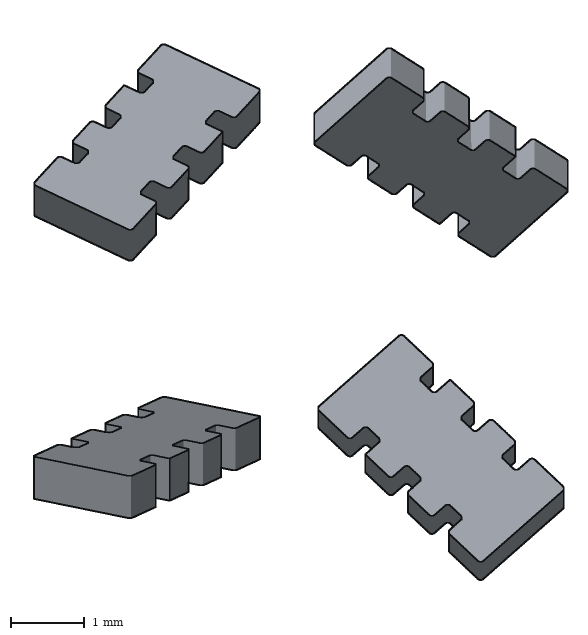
import cadquery as cq

length = 3.2
width = length / 2
height = 0.6
pitch = length / 4
notch_width = 0.3
notch_depth = 0.3
corner_radius = 0.05

core_half_width = width / 2 - notch_depth
notch_centers = [-pitch, 0, pitch]

sharp_corner_y = pitch - notch_width / 2


def vertical_edges_at(body, x, y):
    """Select the vertical edge of the body standing at (x, y)."""
    reach = corner_radius / 4
    selector = cq.selectors.BoxSelector(
        (x - reach, y - reach, -height), (x + reach, y + reach, height)
    )
    return body.edges("|Z").edges(selector)


def notched_body():
    """Cut facing notches into both long sides of a block."""
    body = cq.Workplane("XY").box(width, length, height)
    notch_centers_xy = [
        (side * width / 2, y) for side in (-1, 1) for y in notch_centers
    ]
    notches = (
        cq.Workplane("XY")
        .pushPoints(notch_centers_xy)
        .box(2 * notch_depth, notch_width, height)
    )
    return body.cut(notches)


def round_corners(body):
    """Round the block corners and all notch corners but the sharp pair."""
    notch_walls = [
        y + end * notch_width / 2 for y in notch_centers for end in (-1, 1)
    ]
    outer_ys = [-length / 2, *notch_walls, length / 2]
    outer_ys.remove(sharp_corner_y)
    corners = [(width / 2, y) for y in outer_ys]
    corners += [(core_half_width, y) for y in notch_walls]
    for x, y in corners:
        for side in (-1, 1):
            body = vertical_edges_at(body, side * x, y).fillet(corner_radius)
    return body


result = round_corners(notched_body())